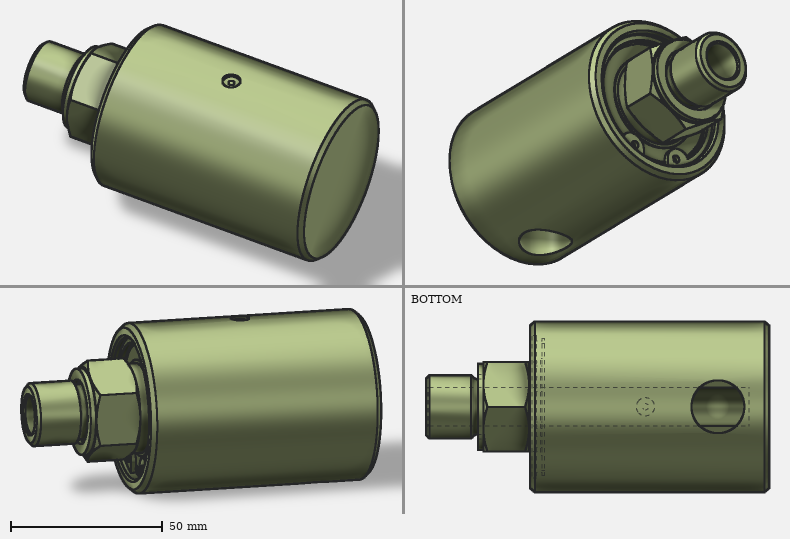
import cadquery as cq
import math


total_length = 113.4
housing_diameter = 56.6

thread_diameter = 21.0
thread_chamfer = 1.1
thread_end_x = 14.9
undercut_cone_depth = 0.7
undercut_radius = 2.3
washer_x = 17.1
washer_diameter = 28.6
washer_hole_diameter = 21.4
bore_diameter = 12.7
bore_chamfer = 0.6

hex_x = 18.9
hex_end_x = 34.0
hex_across_flats = 29.7
hex_chamfer_angle = 30.0
flange_diameter = 32.1
flange_height = 0.5

housing_x = 34.2
end_chamfer_length = 1.7
end_chamfer_depth = 1.5

recess_diameter = 47.0
recess_chamfer = 0.8
shoulder_diameter = 45.2
plate_diameter = 42.0
ring_face_depth = 2.3
ring_thickness = 1.7
groove_depth = 0.9

ring_inner_diameter = 43.5
lug_gap = 10.0
lug_radius = 4.5
lug_y = 9.5
lug_z = -19.4
pin_hole_diameter = 2.5
pin_hole_y = 8.5
pin_hole_z = -18.8

vent_x = 72.5
vent_diameter = 6.0
vent_depth = 1.0
tip_diameter = 2.0
tip_height = 0.3
port_x = 96.4
port_diameter = 17.5
bore_end_x = 106.6

housing_radius = housing_diameter / 2
ring_x = housing_x + ring_face_depth
shoulder_x = ring_x + ring_thickness
groove_floor_x = shoulder_x + groove_depth


def cylinder(start_x, end_x, diameter):
    """Cylinder on the X axis between two stations."""
    return cq.Workplane("YZ", origin=(start_x, 0, 0)).circle(diameter / 2).extrude(end_x - start_x)


def revolve_about_x(profile):
    """Turn a closed (x, radius) profile about the X axis."""
    return profile.close().revolve(360, (0, 0, 0), (1, 0, 0))


def make_housing():
    chamfered_radius = housing_radius - end_chamfer_depth
    body = revolve_about_x(
        cq.Workplane("XY")
        .moveTo(housing_x, 0)
        .lineTo(housing_x, chamfered_radius)
        .lineTo(housing_x + end_chamfer_length, housing_radius)
        .lineTo(total_length - end_chamfer_length, housing_radius)
        .lineTo(total_length, chamfered_radius)
        .lineTo(total_length, 0)
    )
    recess_radius = recess_diameter / 2
    recess = revolve_about_x(
        cq.Workplane("XY")
        .moveTo(housing_x, 0)
        .lineTo(housing_x, recess_radius + recess_chamfer)
        .lineTo(housing_x + recess_chamfer, recess_radius)
        .lineTo(shoulder_x, recess_radius)
        .lineTo(shoulder_x, shoulder_diameter / 2)
        .lineTo(groove_floor_x, shoulder_diameter / 2)
        .lineTo(groove_floor_x, plate_diameter / 2)
        .lineTo(shoulder_x, plate_diameter / 2)
        .lineTo(shoulder_x, 0)
    )
    return body.cut(recess)


def make_retaining_ring():
    """Open ring with two rounded lugs, each with a plier hole, at the bottom."""
    disc = cylinder(ring_x, shoulder_x, recess_diameter)
    ring = disc.cut(cylinder(ring_x, shoulder_x, ring_inner_diameter))
    ring_plane = cq.Workplane("YZ", origin=(ring_x, 0, 0))
    lugs = (
        ring_plane.pushPoints([(-lug_y, lug_z), (lug_y, lug_z)])
        .circle(lug_radius)
        .extrude(ring_thickness)
    )
    lug_stems = (
        ring_plane.pushPoints([(-lug_y, lug_z - lug_radius), (lug_y, lug_z - lug_radius)])
        .rect(2 * lug_radius, 2 * lug_radius)
        .extrude(ring_thickness)
    )
    gap = (
        ring_plane.center(0, -recess_diameter / 2)
        .rect(lug_gap, recess_diameter / 2)
        .extrude(ring_thickness)
    )
    pin_holes = (
        ring_plane.pushPoints([(-pin_hole_y, pin_hole_z), (pin_hole_y, pin_hole_z)])
        .circle(pin_hole_diameter / 2)
        .extrude(ring_thickness)
    )
    return ring.union(lugs.union(lug_stems).intersect(disc)).cut(gap).cut(pin_holes)


def make_hexagon():
    """Hexagon with a corner up, its corners chamfered at both ends."""
    hex_length = hex_end_x - hex_x
    across_corners = hex_across_flats / math.cos(math.radians(30))
    prism = (
        cq.Workplane("YZ", origin=(hex_x, 0, 0))
        .polygon(6, across_corners)
        .extrude(hex_length)
        .rotate((0, 0, 0), (1, 0, 0), 90)
    )
    flat_radius = hex_across_flats / 2
    slope = math.tan(math.radians(hex_chamfer_angle))
    cone_radius = flat_radius + hex_length / 2 / slope
    double_cone = revolve_about_x(
        cq.Workplane("XY")
        .moveTo(hex_x, 0)
        .lineTo(hex_x, flat_radius)
        .lineTo(hex_x + hex_length / 2, cone_radius)
        .lineTo(hex_end_x, flat_radius)
        .lineTo(hex_end_x, 0)
    )
    return prism.intersect(double_cone)


def make_shaft():
    thread_radius = thread_diameter / 2
    cone_end_x = thread_end_x + undercut_cone_depth
    cone_end_radius = thread_radius - undercut_cone_depth
    full_angle = math.radians(45)
    half_angle = full_angle / 2
    undercut_end_x = cone_end_x + undercut_radius * math.sin(full_angle)
    neck_radius = cone_end_radius - undercut_radius * (1 - math.cos(full_angle))
    fillet_middle = (
        undercut_end_x - undercut_radius * math.sin(half_angle),
        neck_radius + undercut_radius * (1 - math.cos(half_angle)),
    )
    spigot = revolve_about_x(
        cq.Workplane("XY")
        .lineTo(0, thread_radius - thread_chamfer)
        .lineTo(thread_chamfer, thread_radius)
        .lineTo(thread_end_x, thread_radius)
        .lineTo(cone_end_x, cone_end_radius)
        .threePointArc(fillet_middle, (undercut_end_x, neck_radius))
        .lineTo(hex_x, neck_radius)
        .lineTo(hex_x, 0)
    )
    washer = cylinder(washer_x, hex_x, washer_diameter).cut(
        cylinder(washer_x, hex_x, washer_hole_diameter)
    )
    collar = cylinder(hex_end_x, shoulder_x, hex_across_flats)
    flange = cylinder(shoulder_x - flange_height, shoulder_x, flange_diameter)
    return spigot.union(washer).union(make_hexagon()).union(collar).union(flange)


def make_bore():
    """Axial passage with a chamfered mouth, ending just beyond the radial port."""
    bore_radius = bore_diameter / 2
    return revolve_about_x(
        cq.Workplane("XY")
        .lineTo(0, bore_radius + bore_chamfer)
        .lineTo(bore_chamfer, bore_radius)
        .lineTo(bore_end_x, bore_radius)
        .lineTo(bore_end_x, 0)
    )


def make_vent():
    """Shallow flat hole on top of the housing that leaves a small cone on its floor."""
    floor_z = housing_radius - vent_depth
    pocket = cq.Workplane("XY", origin=(vent_x, 0, floor_z)).circle(vent_diameter / 2).extrude(vent_depth)
    cone = cq.Solid.makeCone(tip_diameter / 2, 0, tip_height, pnt=cq.Vector(vent_x, 0, floor_z))
    return pocket.cut(cq.Workplane(cone))


def make_port():
    """Radial port from the underside of the housing up to the axial passage."""
    return cq.Workplane("XY", origin=(port_x, 0, 0)).circle(port_diameter / 2).extrude(-housing_radius)


result = (
    make_housing()
    .union(make_retaining_ring())
    .union(make_shaft())
    .cut(make_bore())
    .cut(make_vent())
    .cut(make_port())
)